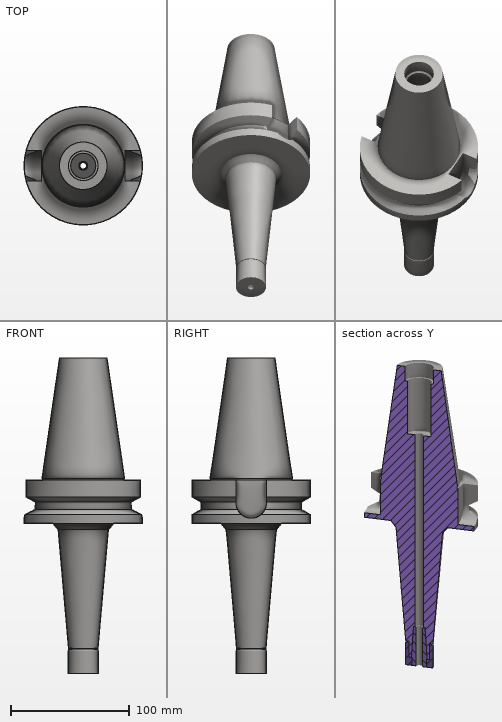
import cadquery as cq
import math


gauge_radius = 69.85 / 2
taper_length = 101.8
taper_ratio = 7 / 48
taper_top_radius = gauge_radius - taper_length * taper_ratio
relief_radius = gauge_radius - 0.5

flange_radius = 50.0
flange_top_z = -1.5
flange_bottom_z = -38.0
groove_center_z = -23.2
groove_floor_radius = 42.5
groove_floor_half = 3.2
groove_flank_height = (flange_radius - groove_floor_radius) * math.tan(math.radians(30))
groove_half = groove_floor_half + groove_flank_height

slot_width = 25.7
slot_floor_x = 35.4
slot_bottom_z = -33.6
slot_overrun = 1.0
slot_depth = flange_radius - slot_floor_x + slot_overrun

nose_chamfer_bottom_z = -43.3
nose_end_z = -143.6
nose_end_radius = 12.5
nose_half_angle = 5.0
nose_length = nose_chamfer_bottom_z - nose_end_z
nose_top_radius = nose_end_radius + nose_length * math.tan(math.radians(nose_half_angle))
nose_chamfer = 4.5

spigot_radius = 9.5
spigot_end_z = -158.0

stud_guide_radius = 12.5
stud_guide_depth = 12.8
stud_thread_radius = 10.6
stud_thread_depth = 60.0
coolant_radius = 3.7

collet_top_z = -130.0
collet_top_radius = 5.0
collet_end_radius = 7.0
collet_bore_radius = 2.8

nut_top_z = -144.4
nut_bottom_z = -165.0
nut_radius = 12.7
nut_bevel_height = 1.5
nut_bevel_width = 0.3


def revolve_profile(points):
    """Revolve a closed (radius, z) outline about the Z axis."""
    return cq.Workplane("XZ").polyline(points).close().revolve(360, (0, 0, 0), (0, 1, 0))


def key_slot(angle):
    """Cutter for one drive slot, open at the flange top, with a round lower end."""
    radius = slot_width / 2
    center_z = slot_bottom_z + radius
    cutter = (
        cq.Workplane("YZ", origin=(slot_floor_x, 0, 0))
        .moveTo(-radius, flange_top_z)
        .lineTo(-radius, center_z)
        .threePointArc((0, slot_bottom_z), (radius, center_z))
        .lineTo(radius, flange_top_z)
        .close()
        .extrude(slot_depth)
    )
    return cutter.rotate((0, 0, 0), (0, 0, 1), angle)


def make_holder():
    body = revolve_profile([
        (coolant_radius, taper_length - stud_thread_depth),
        (stud_thread_radius, taper_length - stud_thread_depth),
        (stud_thread_radius, taper_length - stud_guide_depth),
        (stud_guide_radius, taper_length - stud_guide_depth),
        (stud_guide_radius, taper_length),
        (taper_top_radius, taper_length),
        (gauge_radius, 0),
        (relief_radius, 0),
        (relief_radius, flange_top_z),
        (flange_radius, flange_top_z),
        (flange_radius, groove_center_z + groove_half),
        (groove_floor_radius, groove_center_z + groove_floor_half),
        (groove_floor_radius, groove_center_z - groove_floor_half),
        (flange_radius, groove_center_z - groove_half),
        (flange_radius, flange_bottom_z),
        (nose_top_radius + nose_chamfer, flange_bottom_z),
        (nose_top_radius, nose_chamfer_bottom_z),
        (nose_end_radius, nose_end_z),
        (spigot_radius, nose_end_z),
        (spigot_radius, spigot_end_z),
        (collet_end_radius, spigot_end_z),
        (collet_top_radius, collet_top_z),
        (coolant_radius, collet_top_z),
    ])
    for angle in (0, 180):
        body = body.cut(key_slot(angle))
    return body


def make_collet():
    """Tapered collet in the spigot, with a straight end that fills the nut's opening."""
    return revolve_profile([
        (collet_bore_radius, collet_top_z),
        (collet_top_radius, collet_top_z),
        (collet_end_radius, spigot_end_z),
        (collet_end_radius, nut_bottom_z),
        (collet_bore_radius, nut_bottom_z),
    ])


def make_nut():
    """Nut around the spigot, closed below it by a lip around the collet."""
    return revolve_profile([
        (spigot_radius, nut_top_z),
        (nut_radius - nut_bevel_width, nut_top_z),
        (nut_radius, nut_top_z - nut_bevel_height),
        (nut_radius, nut_bottom_z),
        (collet_end_radius, nut_bottom_z),
        (collet_end_radius, spigot_end_z),
        (spigot_radius, spigot_end_z),
    ])


holder = make_holder()
collet = make_collet()
nut = make_nut()

result = cq.Compound.makeCompound([holder.val(), collet.val(), nut.val()])